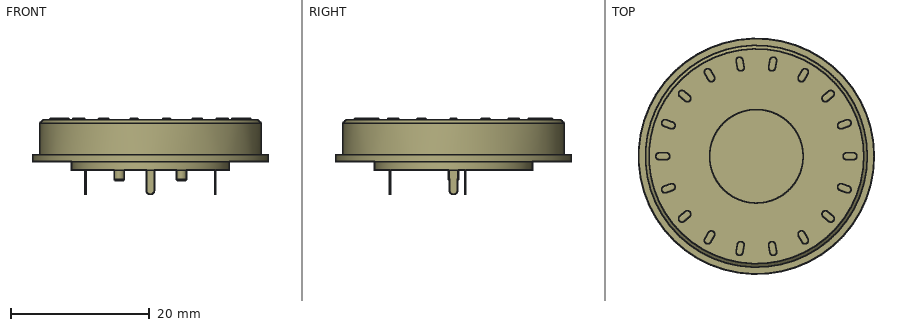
import cadquery as cq

flange_diameter = 34
flange_height = 1.02
body_diameter = 32.0
body_height = 5.03
body_chamfer = 0.5
base_diameter = 22.8
base_height = 1.22
body_top = flange_height + body_height

recess_diameter = 13.5
recess_depth = 0.2

stud_count = 18
stud_ring_radius = 13.5
stud_length = 2.0
stud_width = 1.0
stud_height = 0.25
stud_root = 0.1
stud_round = stud_height

peg_diameter = 1.5
peg_length = 1.5
peg_chamfer = 0.2
peg_offset = 4.5

pin_width = 1.2
pin_thickness = 0.2
pin_length = 3.5
side_pin_offset = 9.35
inner_pin_y = 1.7
outer_pin_y = -9.15


def disc(diameter, bottom, height):
    return cq.Workplane("XY").workplane(offset=bottom).circle(diameter / 2).extrude(height)


def make_housing():
    flange = disc(flange_diameter, 0, flange_height)
    body = disc(body_diameter, flange_height, body_height).faces(">Z").chamfer(body_chamfer)
    base = disc(base_diameter, -base_height, base_height)
    recess = disc(recess_diameter, body_top - recess_depth, recess_depth)
    return base.union(flange).union(body).cut(recess)


def make_studs():
    return (
        cq.Workplane("XY")
        .workplane(offset=body_top - stud_root)
        .polarArray(stud_ring_radius, 0, 360, stud_count)
        .slot2D(stud_length, stud_width)
        .extrude(stud_root + stud_height)
        .faces(">Z")
        .edges()
        .fillet(stud_round)
    )


def make_peg(x):
    peg = disc(peg_diameter, -base_height - peg_length, peg_length)
    return peg.faces("<Z").chamfer(peg_chamfer).translate((x, 0, 0))


def make_pin(x, y, turn):
    """Flat pin with a full-round tip; its width runs along X before it is turned about Z."""
    half_width = pin_width / 2
    tip = -base_height - pin_length
    pin = (
        cq.Workplane("XZ")
        .moveTo(-half_width, -base_height)
        .lineTo(-half_width, tip + half_width)
        .threePointArc((0, tip), (half_width, tip + half_width))
        .lineTo(half_width, -base_height)
        .close()
        .extrude(pin_thickness / 2, both=True)
    )
    return pin.rotate((0, 0, 0), (0, 0, 1), turn).translate((x, y, 0))


result = make_housing().union(make_studs())

for side in (-1, 1):
    result = result.union(make_peg(side * peg_offset))
    result = result.union(make_pin(side * side_pin_offset, 0, 90))

for pin_y in (inner_pin_y, outer_pin_y):
    result = result.union(make_pin(0, pin_y, 0))